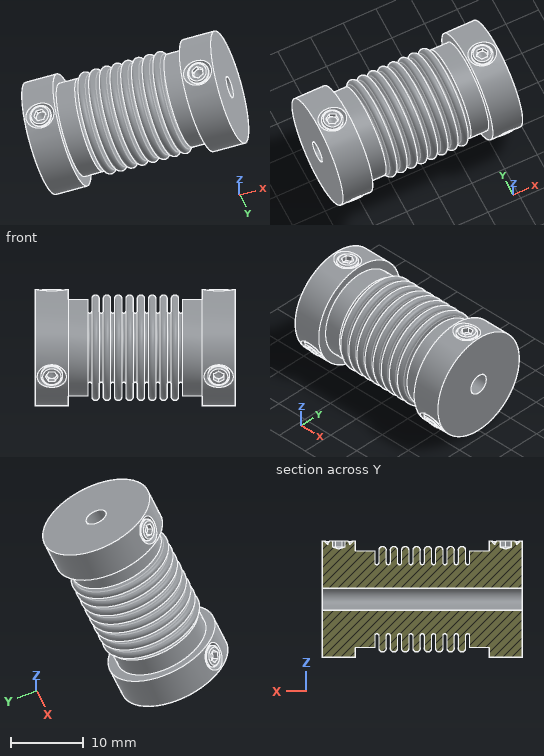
import cadquery as cq
import math

length = 27.5
clamp_radius = 16.0 / 2
clamp_width = 4.56

neck_radius = 13.3 / 2
hub_length = 7.25
bore_radius = 3.0 / 2

ridge_count = 8
ridge_radius = 14.52 / 2
groove_radius = 9.52 / 2
bellows_length = length - 2 * hub_length
groove_width = bellows_length / (3 * ridge_count + 1)
ridge_width = 2 * groove_width

top_screw_angle = 0
side_screw_angle = 120
corner_along_axis = 0
flat_along_axis = 30
screw_radius = 3.0 / 2
screw_face_radius = 2.5 / 2
screw_root_depth = 2.75
socket_flats = 1.48
socket_depth = 0.82
drill_angle = 140
countersink_radius = 2.0


def coupling_profile():
    """Half section of the coupling, drawn as (x, radius)."""
    start = -length / 2
    profile = (
        cq.Workplane("XY")
        .moveTo(start, bore_radius)
        .lineTo(start, clamp_radius)
        .lineTo(start + clamp_width, clamp_radius)
        .lineTo(start + clamp_width, neck_radius)
        .lineTo(start + hub_length, neck_radius)
    )
    groove_start = start + hub_length
    for _ in range(ridge_count):
        profile = add_groove(profile, groove_start)
        profile = add_ridge(profile, groove_start + groove_width)
        groove_start += groove_width + ridge_width
    profile = add_groove(profile, groove_start)
    return (
        profile.lineTo(-start - hub_length, neck_radius)
        .lineTo(-start - clamp_width, neck_radius)
        .lineTo(-start - clamp_width, clamp_radius)
        .lineTo(-start, clamp_radius)
        .lineTo(-start, bore_radius)
        .close()
    )


def add_groove(profile, x):
    """Wall down to the groove and its half-round bottom."""
    round_radius = groove_width / 2
    rim = groove_radius + round_radius
    return profile.lineTo(x, rim).threePointArc((x + round_radius, groove_radius), (x + groove_width, rim))


def add_ridge(profile, x):
    """Wall up to the ridge and its half-round crest."""
    round_radius = ridge_width / 2
    rim = ridge_radius - round_radius
    return profile.lineTo(x, rim).threePointArc((x + round_radius, ridge_radius), (x + ridge_width, rim))


def countersink():
    """Conical hole around one screw at the top of a ring, centred on the Z axis."""
    depth = countersink_radius - screw_radius
    cone = cq.Solid.makeCone(screw_radius, countersink_radius, depth, cq.Vector(0, 0, clamp_radius - depth))
    return cq.Workplane(cone)


def set_screw():
    """Chamfered screw rooted in the ring, along +Z, with its face level with the ring crest."""
    face_chamfer = screw_radius - screw_face_radius
    return (
        cq.Workplane("XY", origin=(0, 0, clamp_radius - screw_root_depth))
        .circle(screw_radius)
        .extrude(screw_root_depth)
        .faces(">Z")
        .chamfer(face_chamfer)
    )


def hex_socket(hex_turn):
    """Hexagonal drive with a conical bottom, along +Z."""
    socket_bottom = clamp_radius - socket_depth
    corner_radius = socket_flats / math.sqrt(3)
    hexagon = (
        cq.Workplane("XY", origin=(0, 0, socket_bottom))
        .polygon(6, 2 * corner_radius)
        .extrude(socket_depth)
        .rotate((0, 0, 0), (0, 0, 1), hex_turn)
    )
    point_radius = socket_flats / 2
    point_depth = point_radius / math.tan(math.radians(drill_angle / 2))
    tip = cq.Vector(0, 0, socket_bottom - point_depth)
    return hexagon.union(cq.Workplane(cq.Solid.makeCone(0, point_radius, point_depth, tip)))


def place(tool, x, angle):
    """Move a tool built on +Z to its position along and around the coupling axis."""
    return tool.rotate((0, 0, 0), (1, 0, 0), angle).translate((x, 0, 0))


result = coupling_profile().revolve(360, (0, 0, 0), (1, 0, 0))

screw_offset = (length - clamp_width) / 2
screws = (
    (-screw_offset, top_screw_angle, flat_along_axis),
    (-screw_offset, side_screw_angle, corner_along_axis),
    (screw_offset, top_screw_angle, corner_along_axis),
    (screw_offset, side_screw_angle, flat_along_axis),
)
for x, angle, hex_turn in screws:
    result = result.cut(place(countersink(), x, angle))
    result = result.union(place(set_screw(), x, angle))
    result = result.cut(place(hex_socket(hex_turn), x, angle))